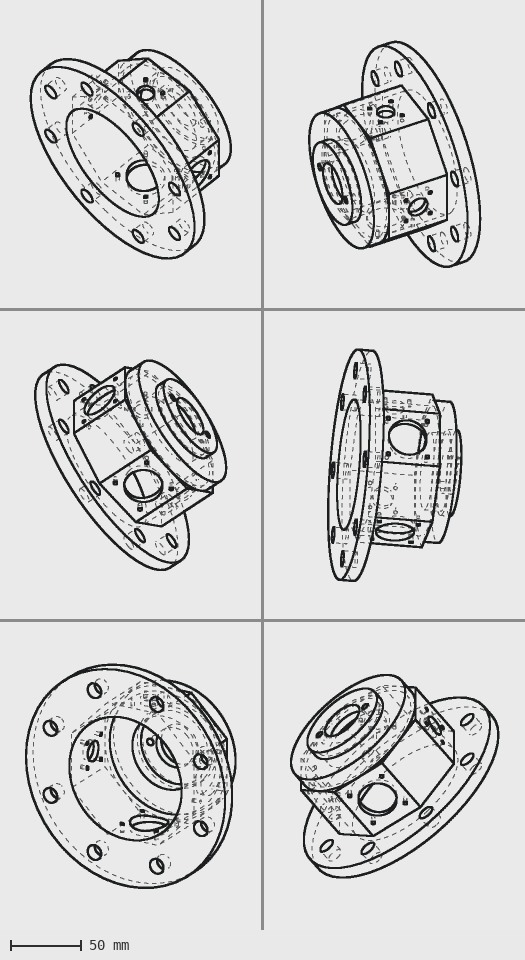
import cadquery as cq
import math


total_length = 75.0
flange_thickness = 10.0
octagon_length = 46.0
boss_length = 7.0

flange_diameter = 163.0
body_size = 100.0
boss_diameter = 61.0
bore_diameter = 92.0
recess_diameter = 55.0
shaft_hole_diameter = 30.0

bolt_count = 8
bolt_circle_diameter = 133.0
bolt_hole_diameter = 11.0

pin_hole_diameter = 5.0
pin_hole_spacing = 40.0

screw_hole_diameter = 2.5
windows = [
    {"turn": 0, "diameter": 12.5, "screw_square": 17.0},
    {"turn": 90, "diameter": 27.0, "screw_square": 28.0},
    {"turn": 180, "diameter": 27.0, "screw_square": 28.0},
    {"turn": 270, "diameter": 14.7, "screw_square": 19.0},
]

octagon_end = flange_thickness + octagon_length
collar_end = total_length - boss_length
window_center = flange_thickness + octagon_length / 2


def plane_at(y):
    """Plane facing +Y, with its local x along -X and local y along Z."""
    return cq.Workplane(cq.Plane(origin=(0, y, 0), xDir=(-1, 0, 0), normal=(0, 1, 0)))


def disc(diameter, start, end):
    """Cylinder on the Y axis from start to end."""
    return plane_at(start).circle(diameter / 2).extrude(end - start)


def octagonal_body():
    """Octagon with flats facing the X and Z axes."""
    sides = 8
    corner_diameter = body_size / math.cos(math.pi / sides)
    return (
        plane_at(flange_thickness)
        .transformed(rotate=(0, 0, 180 / sides))
        .polygon(sides, corner_diameter)
        .extrude(octagon_length)
    )


def outer_body():
    flange = disc(flange_diameter, 0, flange_thickness)
    collar = disc(body_size, octagon_end, collar_end)
    boss = disc(boss_diameter, collar_end, total_length)
    return flange.union(octagonal_body()).union(collar).union(boss)


def inner_space():
    """Bore up to the collar, recess through the collar and shaft hole through the boss."""
    bore = disc(bore_diameter, 0, octagon_end)
    recess = disc(recess_diameter, octagon_end, collar_end)
    shaft_hole = disc(shaft_hole_diameter, 0, total_length)
    return bore.union(recess).union(shaft_hole)


def bolt_holes():
    first_angle = 180 / bolt_count
    return (
        plane_at(0)
        .polarArray(bolt_circle_diameter / 2, first_angle, 360, bolt_count)
        .circle(bolt_hole_diameter / 2)
        .extrude(flange_thickness)
    )


def pin_holes():
    return (
        plane_at(0)
        .rarray(pin_hole_spacing, 1, 2, 1)
        .circle(pin_hole_diameter / 2)
        .extrude(total_length)
    )


def window_cut(turn, diameter, screw_square):
    """Window with four screw holes through one wall of the octagon."""
    center = cq.Workplane("XY", origin=(0, window_center, 0))
    window = center.circle(diameter / 2).extrude(body_size / 2)
    screws = (
        center.rarray(screw_square, screw_square, 2, 2)
        .circle(screw_hole_diameter / 2)
        .extrude(body_size / 2)
    )
    return window.add(screws).combine().rotate((0, 0, 0), (0, 1, 0), turn)


result = outer_body().cut(inner_space()).cut(bolt_holes()).cut(pin_holes())
for window in windows:
    result = result.cut(window_cut(**window))